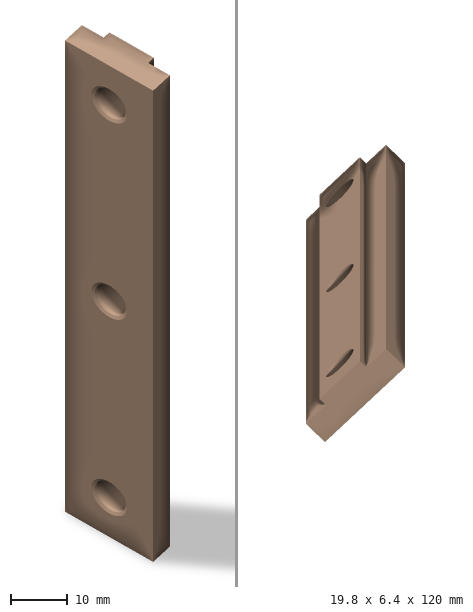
import cadquery as cq
import math

length = 120.0
width = 19.8
thickness = 6.4

rib_width = 10.0
rib_height = 1.6
base_thickness = thickness - rib_height

hole_count = 3
hole_pitch = 50.0
hole_diameter = 6.8
countersink_diameter = 8.0
countersink_angle = 120.0
countersink_depth = (countersink_diameter - hole_diameter) / 2 / math.tan(math.radians(countersink_angle / 2))


def make_bar():
    """T-shaped bar: a flat base with a centred rib, front face on Y = 0."""
    base = cq.Workplane("XY").box(width, base_thickness, length, centered=(True, False, True))
    rib = cq.Workplane("XY").box(rib_width, thickness, length, centered=(True, False, True))
    return base.union(rib)


def make_hole_cutter(height):
    """Revolved cutter for one through hole, countersunk at the front face."""
    hole_radius = hole_diameter / 2
    return (
        cq.Workplane("XY")
        .moveTo(0, 0)
        .lineTo(countersink_diameter / 2, 0)
        .lineTo(hole_radius, countersink_depth)
        .lineTo(hole_radius, thickness)
        .lineTo(0, thickness)
        .close()
        .revolve(360, (0, 0, 0), (0, 1, 0))
        .translate((0, 0, height))
    )


result = make_bar()
for index in range(hole_count):
    hole_height = (index - (hole_count - 1) / 2) * hole_pitch
    result = result.cut(make_hole_cutter(hole_height))